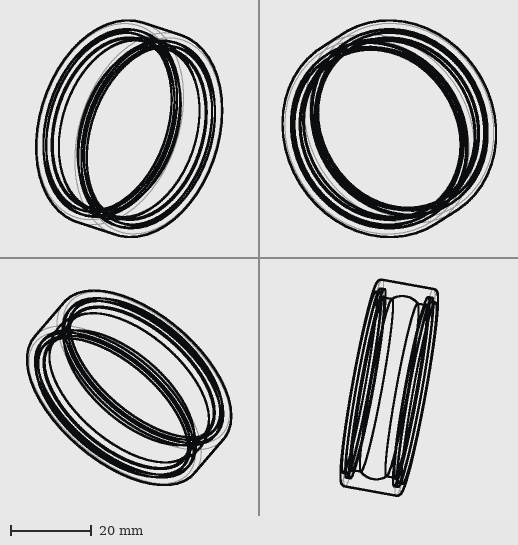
import cadquery as cq

outer_diameter = 52.0
bore_diameter = 43.35
lip_diameter = 45.6
seal_groove_diameter = 47.6
raceway_diameter = 45.9
width = 15.0
edge_radius = 1.05
lip_width = 1.0
recess_depth = 2.0
bore_chamfer = 0.2
raceway_width = 6.2
raceway_chamfer = 0.13

outer_radius = outer_diameter / 2
bore_radius = bore_diameter / 2
lip_radius = lip_diameter / 2
seal_groove_radius = seal_groove_diameter / 2
raceway_radius = raceway_diameter / 2
half_width = width / 2


def ring_blank():
    """Plain ring with rounded outer edges."""
    disc = cq.Workplane("YZ", origin=(-half_width, 0, 0)).circle(outer_radius).extrude(width)
    rounded = disc.edges("%CIRCLE").fillet(edge_radius)
    return rounded.faces(">X").workplane().hole(bore_diameter)


def end_recess(side):
    """Seal recess at one end (side is -1 or 1): entry lip, wider groove, chamfered bore edge."""
    face = side * half_width
    lip_back = face - side * lip_width
    floor = face - side * recess_depth
    chamfer_end = floor - side * bore_chamfer
    return (
        cq.Workplane("XY")
        .moveTo(face, 0)
        .lineTo(face, lip_radius)
        .lineTo(lip_back, lip_radius)
        .lineTo(lip_back, seal_groove_radius)
        .lineTo(floor, seal_groove_radius)
        .lineTo(floor, bore_radius + bore_chamfer)
        .lineTo(chamfer_end, bore_radius)
        .lineTo(chamfer_end, 0)
        .close()
        .revolve(360, (0, 0, 0), (1, 0, 0))
    )


def ball_raceway():
    """Circular-arc groove around the middle of the bore, with chamfered edges."""
    arc_end = raceway_width / 2
    arc_end_radius = bore_radius + raceway_chamfer
    mouth_end = arc_end + raceway_chamfer
    return (
        cq.Workplane("XY")
        .moveTo(-mouth_end, 0)
        .lineTo(-mouth_end, bore_radius)
        .lineTo(-arc_end, arc_end_radius)
        .threePointArc((0, raceway_radius), (arc_end, arc_end_radius))
        .lineTo(mouth_end, bore_radius)
        .lineTo(mouth_end, 0)
        .close()
        .revolve(360, (0, 0, 0), (1, 0, 0))
    )


result = ring_blank().cut(ball_raceway())
for side in (-1, 1):
    result = result.cut(end_recess(side))